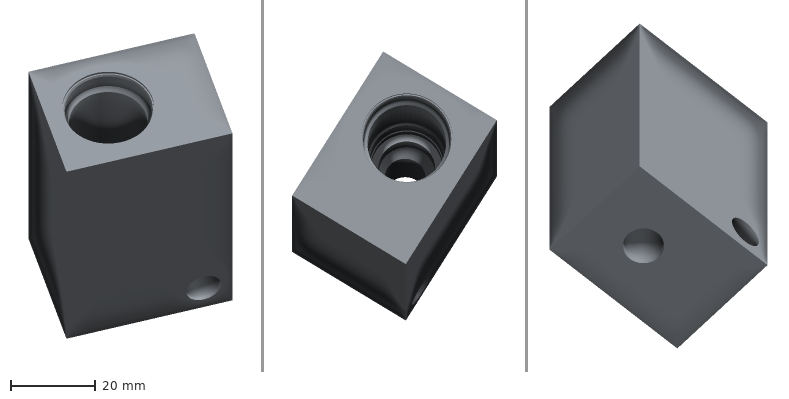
import cadquery as cq
import math

WIDTH = 31.75
DEPTH = 41.15
HEIGHT = 63.5

PORT_Y = -5.5
SPOTFACE_RADIUS = 10.9
SPOTFACE_DEPTH = 0.6
SEAT_RADIUS = 10.6
COUNTERBORE_RADIUS = 10.35
SEAT_BOTTOM = 1.1
COUNTERBORE_DEPTH = 4.7
BORE_RADIUS = 9.35
BORE_DEPTH = 25.4
NOSE_RADIUS = 8.8
NOSE_SHELF_DEPTH = 31.75
THROAT_RADIUS = 8.6
THROAT_DEPTH = 34.9
PILOT_RADIUS = 6.8
PILOT_DEPTH = 41.3
DRILL_POINT_ANGLE = 118.0

OUTLET_Y = -4.8
OUTLET_RADIUS = 4.9

MOUNT_RADIUS = 4.3
MOUNT_BACK_OFFSET = 7.1
MOUNT_Y = DEPTH / 2 - MOUNT_BACK_OFFSET
MOUNT_Z = 7.2


def make_port():
    """Revolve the stepped port, ending in a drill point, about its vertical axis."""
    lead_in_bottom = COUNTERBORE_DEPTH + COUNTERBORE_RADIUS - BORE_RADIUS
    bore_shoulder_bottom = BORE_DEPTH + BORE_RADIUS - NOSE_RADIUS
    tip_depth = PILOT_DEPTH + PILOT_RADIUS / math.tan(math.radians(DRILL_POINT_ANGLE / 2))
    steps = [
        (0, 0),
        (SPOTFACE_RADIUS, 0),
        (SPOTFACE_RADIUS, SPOTFACE_DEPTH),
        (SEAT_RADIUS, SPOTFACE_DEPTH),
        (COUNTERBORE_RADIUS, SEAT_BOTTOM),
        (COUNTERBORE_RADIUS, COUNTERBORE_DEPTH),
        (BORE_RADIUS, lead_in_bottom),
        (BORE_RADIUS, BORE_DEPTH),
        (NOSE_RADIUS, bore_shoulder_bottom),
        (NOSE_RADIUS, NOSE_SHELF_DEPTH),
        (THROAT_RADIUS, NOSE_SHELF_DEPTH),
        (THROAT_RADIUS, THROAT_DEPTH),
        (PILOT_RADIUS, THROAT_DEPTH),
        (PILOT_RADIUS, PILOT_DEPTH),
        (0, tip_depth),
    ]
    outline = [(radius, -depth) for radius, depth in steps]
    port = cq.Workplane("XZ").polyline(outline).close().revolve(360, (0, 0, 0), (0, 1, 0))
    return port.translate((0, PORT_Y, HEIGHT))


def make_outlet():
    """Vertical cylinder from the bottom face up into the drill point of the port."""
    outlet_length = HEIGHT - PILOT_DEPTH
    return cq.Workplane("XY").center(0, OUTLET_Y).circle(OUTLET_RADIUS).extrude(outlet_length)


def make_mounting_hole():
    """Cylinder across the full width of the block."""
    return cq.Workplane("YZ").center(MOUNT_Y, MOUNT_Z).circle(MOUNT_RADIUS).extrude(WIDTH / 2, both=True)


block = cq.Workplane("XY").box(WIDTH, DEPTH, HEIGHT, centered=(True, True, False))
result = block.cut(make_port()).cut(make_outlet()).cut(make_mounting_hole())